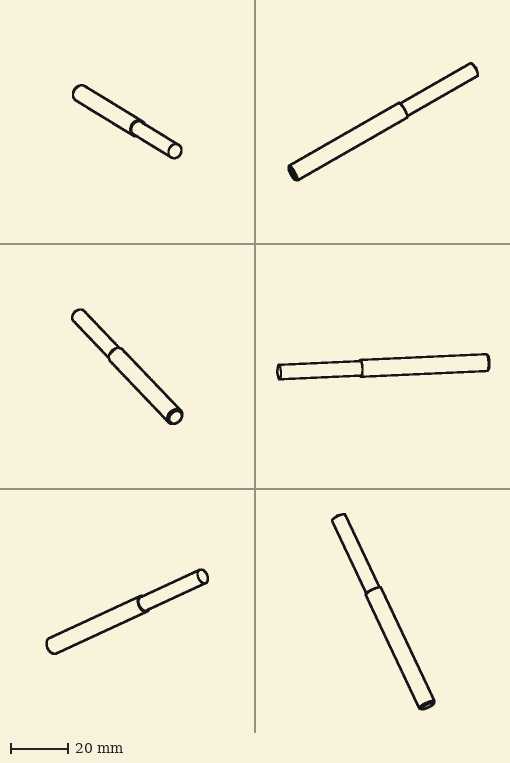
import cadquery as cq
import math

total_length = 76.0
shank_length = 45.8

shank_radius = 6.0 / 2
cutter_radius = 5.2 / 2

shank_chamfer = 0.5
point_angle = 144.0
point_length = cutter_radius / math.tan(math.radians(point_angle / 2))

profile = (
    cq.Workplane("XY")
    .moveTo(0, 0)
    .lineTo(0, shank_radius - shank_chamfer)
    .lineTo(shank_chamfer, shank_radius)
    .lineTo(shank_length, shank_radius)
    .lineTo(shank_length, cutter_radius)
    .lineTo(total_length - point_length, cutter_radius)
    .lineTo(total_length, 0)
    .close()
)

drill = profile.revolve(360, (0, 0, 0), (1, 0, 0))
result = drill.translate((-total_length / 2, 0, 0))